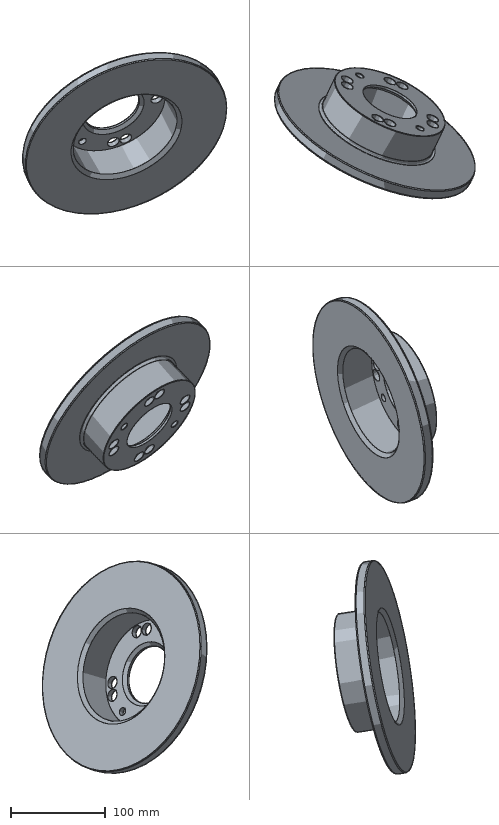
import cadquery as cq
import math

disc_thickness = 11.1
overall_depth = 46.0
hat_front = -overall_depth
disc_front = -disc_thickness
collar_length = 2.7
collar_front = disc_front - collar_length
hat_wall = 6.4
bore_lip_length = 2.7

disc_radius = 227 / 2
hat_radius = 127.0 / 2
collar_radius = 127.5 / 2
groove_radius = 133.5 / 2
cavity_radius = 117.0 / 2
bore_radius = 62.0 / 2

rim_chamfer_length = 1.4
rim_chamfer_height = 0.7
hat_chamfer_length = 0.7
hat_chamfer_height = 0.5
cavity_chamfer = 4.0
bore_chamfer = hat_wall - bore_lip_length
bolt_chamfer = 0.2
pin_chamfer = 0.5

groove_start = disc_front - 0.7
groove_depth = 1.4

bolt_diameter = 13.0
bolt_offset = 49.0
bolt_spacing = 14.0
pin_diameter = 8.5
pin_circle_radius = 49.0
quarter_turns = (0, 90, 180, 270)
pin_angles = (45, 225)


def make_body():
    """Revolve the disc and hat section about the X axis."""
    groove_middle = (collar_radius + groove_radius) / 2
    rim_edge = disc_radius - rim_chamfer_height
    profile = (
        cq.Workplane("XY")
        .moveTo(hat_front, bore_radius)
        .lineTo(hat_front, hat_radius - hat_chamfer_height)
        .lineTo(hat_front + hat_chamfer_length, hat_radius)
        .lineTo(collar_front, hat_radius)
        .lineTo(collar_front, collar_radius)
        .lineTo(groove_start, collar_radius)
        .threePointArc((disc_front + groove_depth, groove_middle), (disc_front, groove_radius))
        .lineTo(disc_front, rim_edge)
        .lineTo(disc_front + rim_chamfer_length, disc_radius)
        .lineTo(-rim_chamfer_length, disc_radius)
        .lineTo(0, rim_edge)
        .lineTo(0, cavity_radius + cavity_chamfer)
        .lineTo(-cavity_chamfer, cavity_radius)
        .lineTo(hat_front + hat_wall, cavity_radius)
        .lineTo(hat_front + hat_wall, bore_radius + bore_chamfer)
        .lineTo(hat_front + bore_lip_length, bore_radius)
        .close()
    )
    return profile.revolve(360, (0, 0, 0), (1, 0, 0))


def hole_cutter(diameter, chamfer, y, z):
    """Cylinder along X through the hat wall, with a chamfered mouth at the hat face."""
    start = cq.Vector(hat_front, y, z)
    along_x = cq.Vector(1, 0, 0)
    radius = diameter / 2
    hole = cq.Solid.makeCylinder(radius, hat_wall, start, along_x)
    mouth = cq.Solid.makeCone(radius + chamfer, radius, chamfer, start, along_x)
    return hole.fuse(mouth)


def cut_bolt_holes(body):
    """Cut four pairs of neighbouring bolt holes, a quarter turn apart."""
    for angle in quarter_turns:
        for shift in (0, -bolt_spacing):
            cutter = hole_cutter(bolt_diameter, bolt_chamfer, shift, bolt_offset)
            body = body.cut(cutter.rotate(cq.Vector(0, 0, 0), cq.Vector(1, 0, 0), angle))
    return body


def cut_pin_holes(body):
    """Cut the two small locating holes on opposite sides of the bore."""
    for angle in pin_angles:
        y = pin_circle_radius * math.cos(math.radians(angle))
        z = pin_circle_radius * math.sin(math.radians(angle))
        body = body.cut(hole_cutter(pin_diameter, pin_chamfer, y, z))
    return body


result = cut_pin_holes(cut_bolt_holes(make_body()))